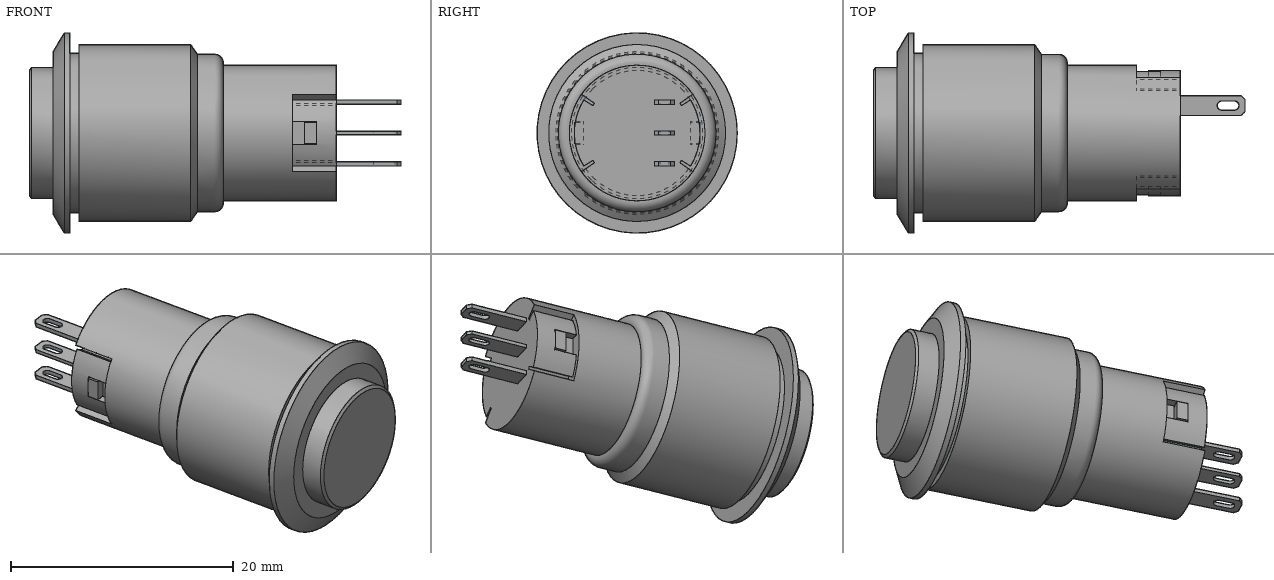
import cadquery as cq
import math

total_length = 33.4
button_radius = 11.8 / 2
button_edge_run = 0.2
button_edge_drop = 0.27
flange_front_x = 2.15
flange_front_radius = 7.3
flange_rim_x = 3.15
flange_radius = 18.0 / 2
flange_back_x = 3.65
neck_radius = 14.35 / 2
barrel_front_x = 4.45
barrel_radius = 15.9 / 2
barrel_back_x = 14.5
collar_front_x = 15.1
collar_radius = 14.15 / 2
collar_back_x = 17.45
collar_round = 0.8
housing_radius = 12.2 / 2
housing_back_x = 27.6

recess_front_x = 23.65
recess_half_angle = 34.8
panel_radius = 5.65
panel_half_angle = 31.7
groove_floor_radius = 4.68
cut_margin = 0.35
pocket_length = 2.15
pocket_height = 2.1
pocket_depth = 0.85
catch_length = 1.07
catch_height = 1.9

terminal_width = 1.8
terminal_center_y = 2.47
terminal_pitch = 2.77
outer_terminal_thickness = 0.4
middle_terminal_thickness = 0.35
terminal_tip_chamfer = 0.37
eyelet_length = 1.95
eyelet_width = 0.8
eyelet_tip_gap = 0.57
terminal_embed = 0.67


def make_turned_body():
    """Button, flange, barrel, collar and housing as one revolved profile."""
    arc_leg = collar_round * math.sqrt(0.5)
    arc_center_x = collar_back_x - collar_round
    arc_center_radius = collar_radius - collar_round
    profile = (
        cq.Workplane("XY")
        .moveTo(0, 0)
        .lineTo(0, button_radius - button_edge_drop)
        .lineTo(button_edge_run, button_radius)
        .lineTo(flange_front_x, button_radius)
        .lineTo(flange_front_x, flange_front_radius)
        .lineTo(flange_rim_x, flange_radius)
        .lineTo(flange_back_x, flange_radius)
        .lineTo(flange_back_x, neck_radius)
        .lineTo(barrel_front_x, neck_radius)
        .lineTo(barrel_front_x, barrel_radius)
        .lineTo(barrel_back_x, barrel_radius)
        .lineTo(collar_front_x, collar_radius)
        .lineTo(arc_center_x, collar_radius)
        .threePointArc(
            (arc_center_x + arc_leg, arc_center_radius + arc_leg),
            (collar_back_x, arc_center_radius),
        )
        .lineTo(collar_back_x, housing_radius)
        .lineTo(housing_back_x, housing_radius)
        .lineTo(housing_back_x, 0)
        .close()
    )
    return profile.revolve(360, (0, 0, 0), (1, 0, 0))


def make_sector(half_angle, radius, length):
    """Cylinder sector about the -Y direction, extruded back from the recess front."""
    reach = 2 * radius
    half_height = reach * math.tan(math.radians(half_angle))
    section = cq.Workplane("YZ", origin=(recess_front_x, 0, 0))
    corners = [(0, 0), (-reach, -half_height), (-reach, half_height)]
    wedge = section.polyline(corners).close().extrude(length)
    return wedge.intersect(section.circle(radius).extrude(length))


def make_recess():
    """Material removed on the -Y side: a sector around the panel, grooved along the panel flanks."""
    length = housing_back_x - recess_front_x
    outer = make_sector(recess_half_angle, housing_radius + cut_margin, length)
    core = cq.Workplane("YZ", origin=(recess_front_x, 0, 0)).circle(groove_floor_radius).extrude(length)
    return outer.cut(make_sector(panel_half_angle, panel_radius, length)).cut(core)


def make_side_block(front_x, length, height):
    """Box reaching inward from the panel crest on the -Y side by the pocket depth."""
    return (
        cq.Workplane("XY")
        .box(length, pocket_depth, height, centered=(False, False, True))
        .translate((front_x, -panel_radius, 0))
    )


def make_terminal(center_z, thickness):
    """Flat blade with a chamfered tip and a slotted eyelet."""
    start_x = housing_back_x - terminal_embed
    eyelet_center_x = total_length - eyelet_tip_gap - eyelet_length / 2
    blade = (
        cq.Workplane("XY")
        .box(total_length - start_x, terminal_width, thickness, centered=(False, True, True))
        .edges("|Z and >X")
        .chamfer(terminal_tip_chamfer)
        .translate((start_x, terminal_center_y, center_z))
    )
    eyelet = (
        cq.Workplane("XY", origin=(eyelet_center_x, terminal_center_y, center_z))
        .slot2D(eyelet_length, eyelet_width)
        .extrude(thickness, both=True)
    )
    return blade.cut(eyelet)


result = make_turned_body()

recess = make_recess()
pocket = make_side_block(recess_front_x, pocket_length, pocket_height)
catch = make_side_block(recess_front_x + pocket_length - catch_length, catch_length, catch_height)
for side_angle in (0, 180):
    for cutter in (recess, pocket):
        result = result.cut(cutter.rotate((0, 0, 0), (1, 0, 0), side_angle))
    result = result.union(catch.rotate((0, 0, 0), (1, 0, 0), side_angle))

for row, thickness in (
    (-1, outer_terminal_thickness),
    (0, middle_terminal_thickness),
    (1, outer_terminal_thickness),
):
    result = result.union(make_terminal(row * terminal_pitch, thickness))